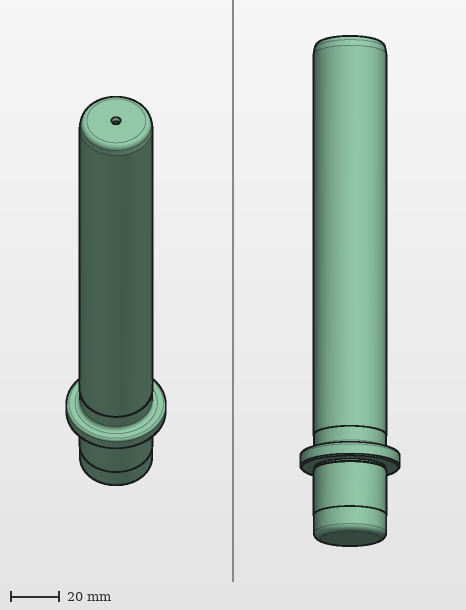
import cadquery as cq
import math

length = 210.0
guide_radius = 15.02
flange_radius = 20.48

fit_start = 9.9
flange_bottom = 30.0
flange_top = 36.0
guide_start = 43.9

relief_step = 0.2
lead_step = 0.1
bottom_round = 2.5
undercut_depth = 0.5
undercut_height = 1.3
flange_round = 1.0
flange_chamfer = 0.6
flange_fillet = 2.0
top_round = 2.5
taper_height = 2.5
taper_angle = math.radians(10)

centre_mouth_radius = 1.9
centre_drill_radius = 1.0
centre_depth = 4.2


def arc_point(centre_r, centre_z, radius, angle):
    """Point on an arc in the radius-height plane."""
    return centre_r + radius * math.cos(angle), centre_z + radius * math.sin(angle)


def make_body():
    """Revolve the pin's half section about its axis."""
    relief_radius = guide_radius - relief_step
    lead_radius = guide_radius - lead_step
    undercut_radius = guide_radius - undercut_depth
    bottom_centre_r = lead_radius - bottom_round

    top_centre_z = length - top_round
    taper_end_z = top_centre_z + top_round * math.sin(taper_angle)
    taper_start_z = taper_end_z - taper_height
    taper_end_r = guide_radius - taper_height * math.tan(taper_angle)
    top_centre_r = taper_end_r - top_round * math.cos(taper_angle)
    top_mid_angle = (taper_angle + math.pi / 2) / 2

    edge_centre_r = flange_radius - flange_round
    fillet_centre_r = relief_radius + flange_fillet
    fillet_centre_z = flange_top + flange_fillet
    return (
        cq.Workplane("XZ")
        .lineTo(bottom_centre_r, 0)
        .threePointArc(
            arc_point(bottom_centre_r, bottom_round, bottom_round, -math.pi / 4),
            (lead_radius, bottom_round),
        )
        .lineTo(lead_radius, fit_start)
        .lineTo(guide_radius, fit_start)
        .lineTo(guide_radius, flange_bottom - undercut_height)
        .lineTo(undercut_radius, flange_bottom - undercut_height + undercut_depth)
        .lineTo(undercut_radius, flange_bottom)
        .lineTo(flange_radius - flange_chamfer, flange_bottom)
        .lineTo(flange_radius, flange_bottom + flange_chamfer)
        .lineTo(flange_radius, flange_top - flange_round)
        .threePointArc(
            arc_point(edge_centre_r, flange_top - flange_round, flange_round, math.pi / 4),
            (edge_centre_r, flange_top),
        )
        .lineTo(fillet_centre_r, flange_top)
        .threePointArc(
            arc_point(fillet_centre_r, fillet_centre_z, flange_fillet, -3 * math.pi / 4),
            (relief_radius, fillet_centre_z),
        )
        .lineTo(relief_radius, guide_start)
        .lineTo(guide_radius, guide_start)
        .lineTo(guide_radius, taper_start_z)
        .lineTo(taper_end_r, taper_end_z)
        .threePointArc(
            arc_point(top_centre_r, top_centre_z, top_round, top_mid_angle),
            (top_centre_r, length),
        )
        .lineTo(0, length)
        .close()
        .revolve(360, (0, 0, 0), (0, 1, 0))
    )


def make_centre_hole():
    """Blind centre hole with a 60 degree countersunk mouth."""
    cone_depth = (centre_mouth_radius - centre_drill_radius) / math.tan(math.radians(30))
    return (
        cq.Workplane("XZ")
        .moveTo(0, length)
        .lineTo(centre_mouth_radius, length)
        .lineTo(centre_drill_radius, length - cone_depth)
        .lineTo(centre_drill_radius, length - centre_depth)
        .lineTo(0, length - centre_depth)
        .close()
        .revolve(360, (0, 0, 0), (0, 1, 0))
    )


result = make_body().cut(make_centre_hole())